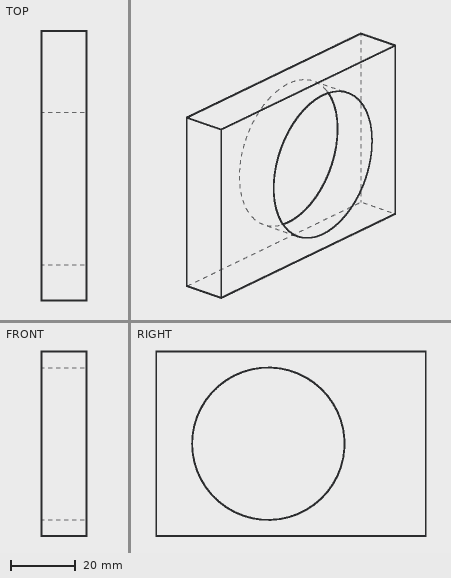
import cadquery as cq

thickness = 14.0
length = 83.3
height = 57.0

bore_diameter = 47.0
bore_offset_y = -7.0

plate = cq.Workplane("XY").box(thickness, length, height)

result = (
    plate.faces(">X")
    .workplane(origin=(0, 0, 0))
    .center(bore_offset_y, 0)
    .hole(bore_diameter)
)